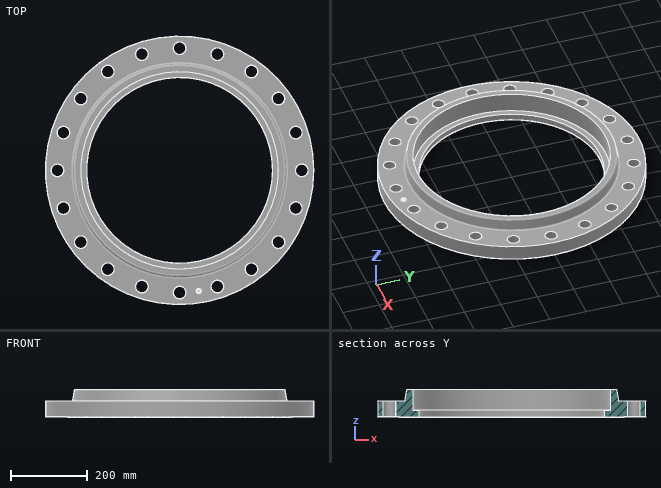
import cadquery as cq
import math

flange_diameter = 698.0
overall_height = 72.5
plate_thickness = 42.5
raised_face_diameter = 584.5
raised_face_height = 1.5

hub_base_diameter = 558.5
hub_top_diameter = 548.0
hub_base_fillet = 1.5
hub_top_fillet = 1.5

bore_diameter = 482.5
socket_diameter = 513.0
socket_floor_height = 19.0

bolt_count = 20
bolt_circle_radius = 318.0
bolt_hole_diameter = 32.0
bolt_pitch_angle = 360 / bolt_count

recess_diameter = 13.0
recess_depth = 3.0
pilot_diameter = 8.0
pilot_depth = 5.5
small_hole_angle = -90 + bolt_pitch_angle / 2


def disc(diameter, bottom, height):
    """Upright cylinder about the Z axis."""
    return cq.Workplane("XY").workplane(offset=bottom).circle(diameter / 2).extrude(height)


def make_solid_flange():
    """Unbored plate, raised face and tapered hub, with the hub edges rounded."""
    profile = [
        (0, 0),
        (raised_face_diameter / 2, 0),
        (raised_face_diameter / 2, raised_face_height),
        (flange_diameter / 2, raised_face_height),
        (flange_diameter / 2, plate_thickness),
        (hub_base_diameter / 2, plate_thickness),
        (hub_top_diameter / 2, overall_height),
        (0, overall_height),
    ]
    body = cq.Workplane("XZ").polyline(profile).close().revolve(360, (0, 0, 0), (0, 1, 0))
    smallest_circle = cq.selectors.RadiusNthSelector(0)
    body = body.faces(">Z").edges().fillet(hub_top_fillet)
    plate_top = body.faces("|Z").faces(cq.selectors.CenterNthSelector(cq.Vector(0, 0, 1), -2))
    return plate_top.edges(smallest_circle).fillet(hub_base_fillet)


def cut_bore(body):
    """Through bore with a wider socket opening at the hub end."""
    bore = disc(bore_diameter, 0, overall_height)
    socket = disc(socket_diameter, socket_floor_height, overall_height - socket_floor_height)
    return body.cut(bore).cut(socket)


def cut_bolt_holes(body):
    """Equally spaced through holes on the bolt circle."""
    holes = (
        cq.Workplane("XY")
        .polarArray(bolt_circle_radius, 0, 360, bolt_count)
        .circle(bolt_hole_diameter / 2)
        .extrude(plate_thickness)
    )
    return body.cut(holes)


def cut_small_hole(body):
    """Shallow round recess in the upper face of the plate with a narrower pilot hole at its centre."""
    angle = math.radians(small_hole_angle)
    center = (bolt_circle_radius * math.cos(angle), bolt_circle_radius * math.sin(angle), 0)
    recess = disc(recess_diameter, plate_thickness - recess_depth, recess_depth)
    pilot = disc(pilot_diameter, plate_thickness - pilot_depth, pilot_depth)
    return body.cut(recess.union(pilot).translate(center))


result = make_solid_flange()
result = cut_bore(result)
result = cut_bolt_holes(result)
result = cut_small_hole(result)